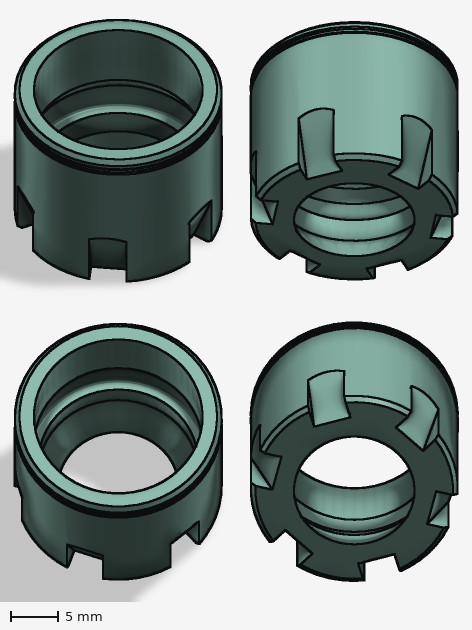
import cadquery as cq
import math

outer_radius = 11.0
height = 18.4
rim_chamfer = 0.5

groove_upper_z = 17.4
groove_lower_z = 16.59
groove_depth = 0.2
flank_depth = 0.1
flank_height = 0.22

bore_radius = 17.9 / 2
undercut_radius = 19.3 / 2
seat_radius = 17.0 / 2
hole_radius = 12.8 / 2
undercut_cone_top_z = 10.91
undercut_cone_bottom_z = 9.42
ledge_z = 6.4
ledge_fillet = 0.42
seat_half_angle = 30.0
seat_cone_top_z = (seat_radius - hole_radius) / math.tan(math.radians(seat_half_angle))

slot_count = 6
slot_width = 4.0
slot_bottom_radius = 8.47
slot_lean_angle = 20.0
first_slot_angle = 30.0


def make_body():
    """Revolve the ring wall, including its bore, around Z."""
    fillet_middle_radius = undercut_radius - ledge_fillet * (1 - math.sqrt(0.5))
    fillet_middle_z = ledge_z + ledge_fillet * (1 - math.sqrt(0.5))
    groove_middle_z = (groove_upper_z + groove_lower_z) / 2
    profile = (
        cq.Workplane("XZ")
        .moveTo(hole_radius, 0)
        .lineTo(outer_radius - rim_chamfer, 0)
        .lineTo(outer_radius, rim_chamfer)
        .lineTo(outer_radius, groove_lower_z)
        .lineTo(outer_radius - flank_depth, groove_lower_z + flank_height)
        .threePointArc(
            (outer_radius - groove_depth, groove_middle_z),
            (outer_radius - flank_depth, groove_upper_z - flank_height),
        )
        .lineTo(outer_radius, groove_upper_z)
        .lineTo(outer_radius, height - rim_chamfer)
        .lineTo(outer_radius - rim_chamfer, height)
        .lineTo(bore_radius, height)
        .lineTo(bore_radius, undercut_cone_top_z)
        .lineTo(undercut_radius, undercut_cone_bottom_z)
        .lineTo(undercut_radius, ledge_z + ledge_fillet)
        .threePointArc(
            (fillet_middle_radius, fillet_middle_z),
            (undercut_radius - ledge_fillet, ledge_z),
        )
        .lineTo(seat_radius, ledge_z)
        .lineTo(seat_radius, seat_cone_top_z)
        .close()
    )
    return profile.revolve(360, (0, 0, 0), (0, 1, 0))


def make_slot_cutter():
    """Wedge pointing along +X that cuts one slot."""
    clearance_radius = outer_radius + 0.22
    wedge_height = (clearance_radius - slot_bottom_radius) / math.tan(math.radians(slot_lean_angle))
    return (
        cq.Workplane("XZ")
        .moveTo(slot_bottom_radius, 0)
        .lineTo(clearance_radius, 0)
        .lineTo(clearance_radius, wedge_height)
        .close()
        .extrude(slot_width / 2, both=True)
    )


result = make_body()
slot_cutter = make_slot_cutter()
for slot_index in range(slot_count):
    slot_angle = first_slot_angle + slot_index * 360 / slot_count
    result = result.cut(slot_cutter.rotate((0, 0, 0), (0, 0, 1), slot_angle))